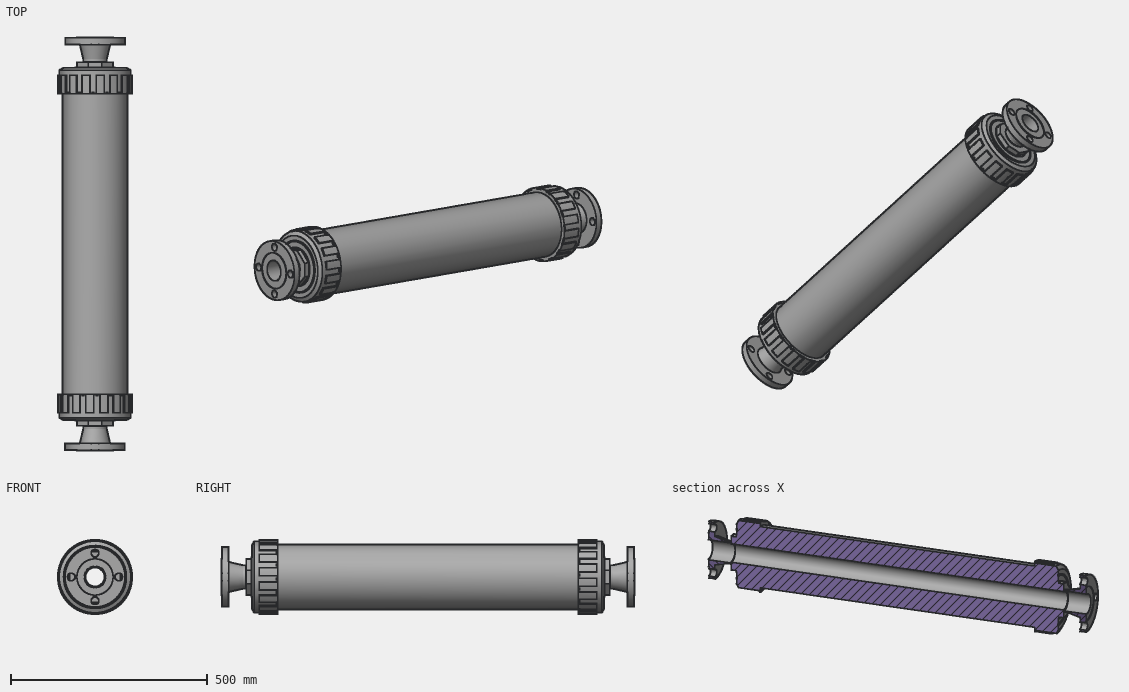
import cadquery as cq
import math

overall_length = 1050.56
half_length = overall_length / 2

flange_diameter = 152.4
flange_thickness = 19.05
flange_length = 63.5
raised_face_diameter = 91.95
raised_face_height = 1.6
flange_bore = 52.5
hub_base_diameter = 77.72
neck_diameter = 60.33
neck_length = 7.5
weld_land_diameter = 56.36
weld_bevel_angle = 37.5
bolt_circle_diameter = 120.65
bolt_hole_diameter = 19.05
bolt_count = 4

tube_diameter = 166.0
housing_bore = 48.26
socket_width = 91.95
socket_flat_width = 35.0
socket_pad_diameter = 100.0
socket_pad_height = 0.8
housing_half_length = half_length - flange_length

collar_diameter = 182.0
collar_inner_end = 381.0
collar_outer_end = 447.5
collar_chamfer_length = 6.0
collar_face_diameter = 160.0

ring_groove_outer_diameter = 134.62
ring_groove_inner_diameter = 129.5
ring_groove_depth = 2.0

rib_count = 16
rib_pitch = 360 / rib_count
rib_tip_diameter = 189.04
rib_width = 21.0
rib_outer_end = 429.0
first_rib_angle = 8.3

rim_thickness = 1.5

nub_width = 4.0
nub_length = 3.0
nub_tip_diameter = 185.0


def cylinder(diameter, start, end):
    """Solid cylinder along Y between two Y positions."""
    return cq.Workplane("XZ", origin=(0, start, 0)).circle(diameter / 2).extrude(start - end)


def other_end(body):
    """Copy of a +Y end placed at the -Y end by a half turn about Z."""
    return body.rotate((0, 0, 0), (0, 0, 1), 180)


def make_flange():
    """Weld-neck flange at the +Y end, with its raised face outwards."""
    bevel_length = (neck_diameter - weld_land_diameter) / 2 * math.tan(math.radians(weld_bevel_angle))
    plate_outer = half_length - raised_face_height
    plate_inner = half_length - flange_thickness
    neck_start = half_length - flange_length
    profile = [
        (flange_bore / 2, neck_start),
        (weld_land_diameter / 2, neck_start),
        (neck_diameter / 2, neck_start + bevel_length),
        (neck_diameter / 2, neck_start + neck_length),
        (hub_base_diameter / 2, plate_inner),
        (flange_diameter / 2, plate_inner),
        (flange_diameter / 2, plate_outer),
        (raised_face_diameter / 2, plate_outer),
        (raised_face_diameter / 2, half_length),
        (flange_bore / 2, half_length),
    ]
    flange = cq.Workplane("XY").polyline(profile).close().revolve(360, (0, 0, 0), (0, 1, 0))
    bolt_holes = (
        cq.Workplane("XZ", origin=(0, half_length, 0))
        .polarArray(bolt_circle_diameter / 2, 0, 360, bolt_count)
        .circle(bolt_hole_diameter / 2)
        .extrude(flange_thickness)
    )
    return flange.cut(bolt_holes)


def make_radial_block(width, start, end, height, angle):
    """Block that reaches from the axis out to a height, turned about Y by an angle from +Z."""
    return (
        cq.Workplane("XY")
        .box(width, end - start, height, centered=(True, False, False))
        .translate((0, start, 0))
        .rotate((0, 0, 0), (0, 1, 0), angle)
    )


def make_rib_gaps():
    """Material between the ribs: a ring less the ribs and the nubs."""
    start = collar_inner_end + rim_thickness
    gaps = cylinder(2 * rib_tip_diameter, start, rib_outer_end).cut(
        cylinder(collar_diameter, start, rib_outer_end)
    )
    for index in range(rib_count):
        rib_angle = first_rib_angle + index * rib_pitch
        nub_angle = rib_angle + rib_pitch / 2
        rib = make_radial_block(rib_width, start, rib_outer_end, 2 * rib_tip_diameter, rib_angle)
        nub = make_radial_block(nub_width, start, start + nub_length, nub_tip_diameter / 2, nub_angle)
        gaps = gaps.cut(rib).cut(nub)
    return gaps


def make_housing_end():
    """Collar with its ribs and the octagonal socket, at the +Y end."""
    collar_profile = [
        (0, collar_inner_end),
        (rib_tip_diameter / 2, collar_inner_end),
        (rib_tip_diameter / 2, rib_outer_end),
        (collar_diameter / 2, rib_outer_end),
        (collar_diameter / 2, collar_outer_end - collar_chamfer_length),
        (collar_face_diameter / 2, collar_outer_end),
        (0, collar_outer_end),
    ]
    end = cq.Workplane("XY").polyline(collar_profile).close().revolve(360, (0, 0, 0), (0, 1, 0))

    groove_floor = collar_outer_end - ring_groove_depth
    groove = cylinder(ring_groove_outer_diameter, groove_floor, collar_outer_end).cut(
        cylinder(ring_groove_inner_diameter, groove_floor, collar_outer_end)
    )
    end = end.cut(groove).cut(make_rib_gaps())

    socket = (
        cq.Workplane("XY")
        .box(socket_width, housing_half_length - collar_outer_end, socket_width, centered=(True, False, True))
        .edges("|Y")
        .chamfer((socket_width - socket_flat_width) / 2)
        .translate((0, collar_outer_end, 0))
    )
    socket_pad = cylinder(socket_pad_diameter, collar_outer_end, collar_outer_end + socket_pad_height)
    return end.union(socket_pad).union(socket)


def make_housing():
    """Tube and both ends as one solid with a bore right through."""
    tube = cylinder(tube_diameter, -collar_inner_end, collar_inner_end)
    end = make_housing_end()
    bore = cylinder(housing_bore, -housing_half_length, housing_half_length)
    return tube.union(end).union(other_end(end)).cut(bore)


housing = make_housing()
outlet_flange = make_flange()
inlet_flange = other_end(outlet_flange)

result = cq.Compound.makeCompound([housing.val(), outlet_flange.val(), inlet_flange.val()])